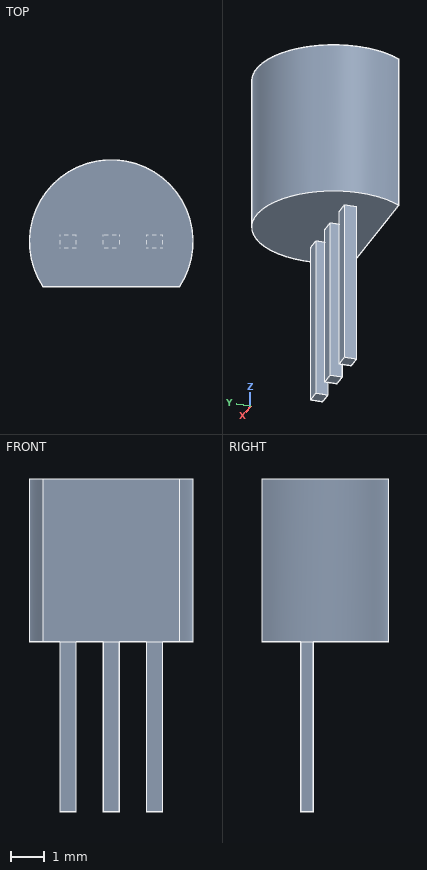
import cadquery as cq
import math


body_diameter = 4.82
body_depth = 3.74
body_height = 4.8

lead_count = 3
lead_pitch = 1.27
lead_width = 0.48
lead_thickness = 0.38
lead_length = 5.0

body_radius = body_diameter / 2
flat_y = body_radius - body_depth
flat_half_width = math.sqrt(body_radius**2 - flat_y**2)


def make_body():
    """Cylinder with a flat front face."""
    return (
        cq.Workplane("XY")
        .moveTo(-flat_half_width, flat_y)
        .threePointArc((0, body_radius), (flat_half_width, flat_y))
        .close()
        .extrude(body_height)
    )


def make_leads():
    """Row of rectangular leads hanging from the underside of the body."""
    return (
        cq.Workplane("XY")
        .rarray(lead_pitch, 1, lead_count, 1)
        .rect(lead_width, lead_thickness)
        .extrude(-lead_length)
    )


result = make_body().union(make_leads())